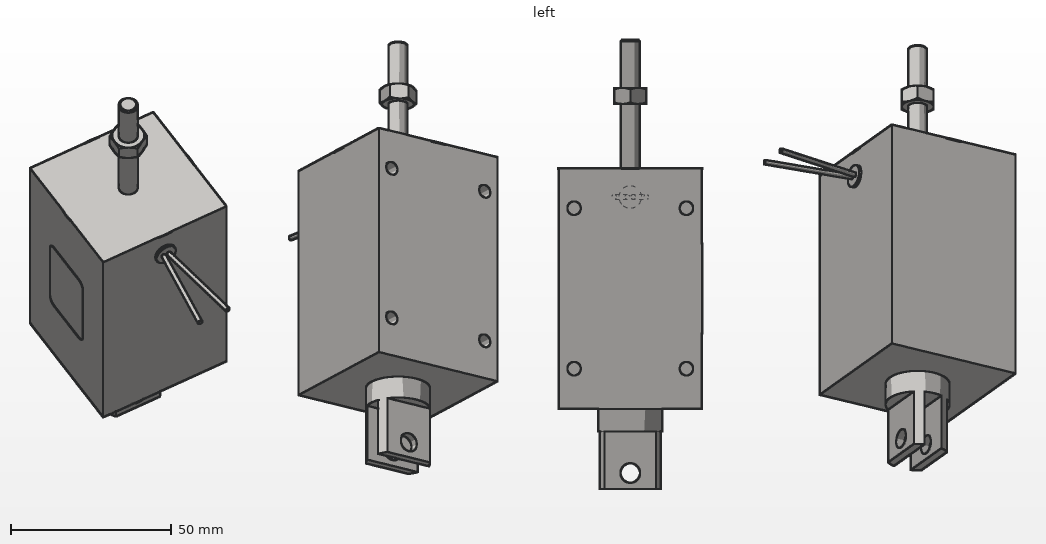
import cadquery as cq
import math

housing_side = 44.7
housing_height = 75.0

cap_diameter = 45.0
cap_thickness = 0.3

rod_diameter = 6.0
rod_length = 40.0
rod_chamfer = 0.5

nut_across_flats = 10.0
nut_height = 5.0
nut_bottom = housing_height + 20.0
nut_chamfer_angle = 30.0

plunger_diameter = 20.0
plunger_length = 7.0
fork_length = 18.0
fork_width = 12.0
fork_gap = 6.0
pin_hole_diameter = 6.0
pin_hole_to_fork_end = 5.0

mount_hole_diameter = 4.2
mount_hole_depth = 8.0
mount_spacing_y = 35.0
mount_spacing_z = 50.0

label_width = 20.0
label_height = 28.0
label_corner_radius = 2.5
label_thickness = 0.1

cable_height = 66.0
grommet_diameter = 7.0
grommet_thickness = 0.8
wire_diameter = 1.5
wire_splay_angle = 8.0
wire_reach = 30.0
wire_root_offset = 0.8


def make_housing():
    return cq.Workplane("XY").box(
        housing_side, housing_side, housing_height, centered=(True, True, False)
    )


def make_cap():
    cap_bottom = housing_height - cap_thickness
    return cq.Workplane("XY", origin=(0, 0, cap_bottom)).circle(cap_diameter / 2).extrude(cap_thickness)


def make_rod():
    rod = cq.Workplane("XY", origin=(0, 0, housing_height)).circle(rod_diameter / 2).extrude(rod_length)
    return rod.faces(">Z").chamfer(rod_chamfer)


def make_nut():
    """Hexagon with flats facing +/-Y, its corners trimmed by a cone at each end."""
    across_corners = nut_across_flats / math.cos(math.pi / 6)
    corner_radius = across_corners / 2
    flat_radius = nut_across_flats / 2
    trim = (corner_radius - flat_radius) * math.tan(math.radians(nut_chamfer_angle))
    hexagon = cq.Workplane("XY").polygon(6, across_corners).extrude(nut_height)
    envelope = (
        cq.Workplane("XZ")
        .moveTo(0, 0)
        .lineTo(flat_radius, 0)
        .lineTo(corner_radius, trim)
        .lineTo(corner_radius, nut_height - trim)
        .lineTo(flat_radius, nut_height)
        .lineTo(0, nut_height)
        .close()
        .revolve(360, (0, 0, 0), (0, 1, 0))
    )
    return hexagon.intersect(envelope).translate((0, 0, nut_bottom))


def make_plunger():
    """Round collar carrying a fork: two flat prongs whose edges follow the plunger's round."""
    fork_end = -plunger_length - fork_length
    collar = cq.Workplane("XY").circle(plunger_diameter / 2).extrude(-plunger_length)
    fork = (
        cq.Workplane("XY", origin=(0, 0, -plunger_length))
        .circle(plunger_diameter / 2)
        .extrude(-fork_length)
    )
    fork_base = cq.Workplane("XY", origin=(0, 0, fork_end))
    blade = fork_base.rect(fork_width, plunger_diameter).extrude(fork_length)
    gap = fork_base.rect(fork_gap, plunger_diameter).extrude(fork_length)
    pin_hole = (
        cq.Workplane("YZ")
        .center(0, fork_end + pin_hole_to_fork_end)
        .circle(pin_hole_diameter / 2)
        .extrude(fork_width, both=True)
    )
    return collar.union(fork.intersect(blade).cut(gap).cut(pin_hole))


def make_mount_holes():
    return (
        cq.Workplane("YZ", origin=(-housing_side / 2, 0, housing_height / 2))
        .rect(mount_spacing_y, mount_spacing_z, forConstruction=True)
        .vertices()
        .circle(mount_hole_diameter / 2)
        .extrude(mount_hole_depth)
    )


def make_label():
    return (
        cq.Workplane("XY", origin=(0, -housing_side / 2, housing_height / 2))
        .box(label_width, 2 * label_thickness, label_height)
        .edges("|Y")
        .fillet(label_corner_radius)
    )


def make_grommet():
    return (
        cq.Workplane("YZ", origin=(housing_side / 2, 0, cable_height))
        .circle(grommet_diameter / 2)
        .extrude(grommet_thickness)
    )


def make_wire(side):
    """One straight wire, splayed towards +Y (side = 1) or -Y (side = -1)."""
    splay = math.radians(wire_splay_angle)
    length = (wire_reach - wire_diameter / 2 * math.sin(splay)) / math.cos(splay)
    root = cq.Plane(
        origin=(housing_side / 2, side * wire_root_offset, cable_height),
        xDir=(0, 0, 1),
        normal=(math.cos(splay), side * math.sin(splay), 0),
    )
    return cq.Workplane(root).circle(wire_diameter / 2).extrude(length)


result = make_housing().cut(make_mount_holes())
result = result.union(make_label()).union(make_cap())
result = result.union(make_rod()).union(make_nut())
result = result.union(make_plunger()).union(make_grommet())
for side in (1, -1):
    result = result.union(make_wire(side))